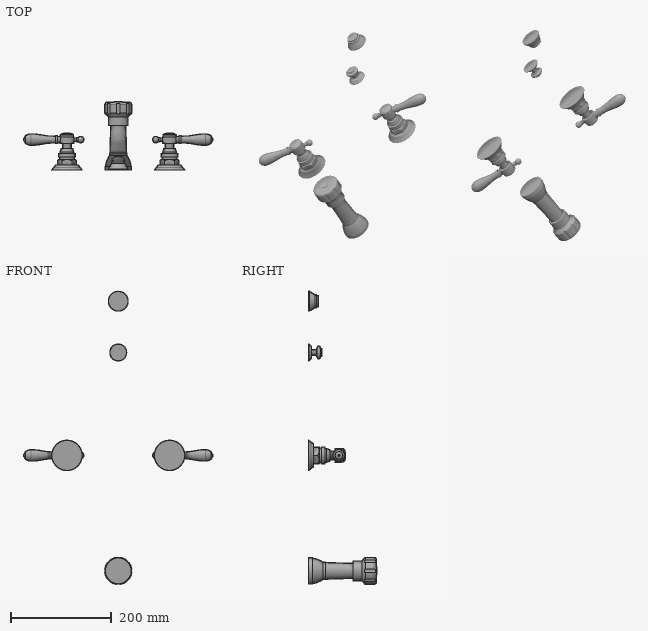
import cadquery as cq


overall_width = 374.5
handle_offset_x = 101.5
handle_z = 229.0
pull_z = 432.5
button_z = 534.0

spout_base_r = 26.0
spout_rim_h = 7.5
flare_start_r = 25.5
flare_mid_r = 23.0
flare_mid_h = 17.5
flare_top_h = 28.5
spout_band_r = 17.5
spout_band_top_h = 34.0
column_base_r = 17.0
column_top_r = 15.0
collar_r = 20.0
collar_bottom_h = 88.0
collar_top_h = 105.5
head_diameter = 54.0
head_r = head_diameter / 2
head_bottom_h = 112.5
head_top_h = 134.5
head_round = 5.0
head_cap_r = 7.5
spout_length = 136.0
flute_count = 8
flute_r = 5.0
flute_depth = 2.0
flute_bottom_h = 107.5
flute_top_h = 132.5

flange_r = 30.0
flange_edge_h = 0.5
flange_step_r = 26.0
flange_step_h = 5.0
flange_top_r = 22.5
flange_top_h = 10.5
hex_corner_r = 19.0
hex_top_h = 21.5
hex_chamfer = 3.0
neck_r = 15.0
ring_r = 17.0
ring_bottom_h = 26.0
ring_top_h = 32.5
cup_base_r = 14.0
cup_mid_h = 35.5
cup_top_r = 11.5
cup_top_h = 42.5
stem_r = 8.5
hub_r = 14.0
hub_bottom_h = 53.0
hub_seam_h = 65.5
hub_crown_r = 13.5
hub_crown_h = 69.5
hub_dome_r = 10.5
hub_dome_h = 72.0
hub_cap_r = 6.5
hub_top_h = 73.0
lever_axis_h = 60.5
lever_neck_r = 6.5
lever_collar_start = 19.0
lever_collar_end = 22.5
lever_collar_r = 8.0
lever_grip_r = 7.0
lever_waist_x = 38.0
lever_waist_r = 7.5
lever_swell_x = 71.0
lever_swell_r = 11.5
lever_shoulder_x = 82.5
lever_shoulder_r = 7.5
lever_length = overall_width / 2 - handle_offset_x
lever_tip_r = 2.0
ball_r = 6.5
ball_x = 27.0
ball_neck_r = 3.5
ball_collar_r = 4.5
ball_collar_start = 18.5
ball_collar_end = 22.0

pull_base_r = 17.0
pull_base_edge_h = 1.0
pull_base_top_r = 11.5
pull_base_top_h = 6.5
pull_stem_r = 6.0
pull_stem_top_h = 15.5
pull_seat_r = 8.0
pull_bead_edge_r = 10.0
pull_bead_r = 13.0
pull_bead_bottom_h = 17.5
pull_bead_top_h = 24.0
pull_cap_r = 7.5
pull_length = 26.5

button_r = 20.0
button_edge_h = 2.0
button_shoulder_r = 13.5
button_shoulder_bottom_h = 13.0
button_shoulder_top_h = 15.5
button_cap_r = 11.0
button_length = 20.0


def turn_about_y(outline):
    """Close a (radius, height) outline onto the Y axis and turn it into a solid."""
    return outline.close().revolve(360, (0, 0, 0), (0, 1, 0))


def rod_along_y(radius, bottom, top):
    return cq.Workplane("XZ", origin=(0, bottom, 0)).circle(radius).extrude(bottom - top)


def make_spout():
    body = turn_about_y(
        cq.Workplane("XY")
        .lineTo(spout_base_r, 0)
        .lineTo(spout_base_r, spout_rim_h)
        .lineTo(flare_start_r, spout_rim_h)
        .threePointArc((flare_mid_r, flare_mid_h), (spout_band_r, flare_top_h))
        .lineTo(spout_band_r, spout_band_top_h)
        .lineTo(column_base_r, spout_band_top_h)
        .lineTo(column_top_r, collar_bottom_h)
        .lineTo(collar_r, collar_bottom_h)
        .lineTo(collar_r, collar_top_h)
        .lineTo(head_r, head_bottom_h)
        .lineTo(head_r, head_top_h - head_round)
        .radiusArc((head_r - head_round, head_top_h), -head_round)
        .lineTo(0, head_top_h)
    )
    body = body.union(rod_along_y(head_cap_r, collar_top_h, spout_length))
    flute = rod_along_y(flute_r, flute_bottom_h, flute_top_h)
    flute = flute.translate((head_r + flute_r - flute_depth, 0, 0))
    for i in range(flute_count):
        body = body.cut(flute.rotate((0, 0, 0), (0, 1, 0), i * 360 / flute_count))
    return body


def make_handle_hexagon():
    """Hexagon with corners on the X axis and its outer corners turned to a chamfer."""
    prism = (
        cq.Workplane("XZ", origin=(0, flange_top_h, 0))
        .polygon(6, 2 * hex_corner_r)
        .extrude(flange_top_h - hex_top_h)
    )
    blank = rod_along_y(hex_corner_r, flange_top_h, hex_top_h).faces(">Y").chamfer(hex_chamfer)
    return prism.intersect(blank)


def make_handle_column():
    return turn_about_y(
        cq.Workplane("XY")
        .lineTo(flange_r, 0)
        .lineTo(flange_r, flange_edge_h)
        .lineTo(flange_step_r, flange_step_h)
        .lineTo(flange_top_r, flange_top_h)
        .lineTo(neck_r, flange_top_h)
        .lineTo(neck_r, ring_bottom_h)
        .lineTo(ring_r, ring_bottom_h)
        .lineTo(ring_r, ring_top_h)
        .lineTo(cup_base_r, ring_top_h)
        .lineTo(cup_base_r, cup_mid_h)
        .lineTo(cup_top_r, cup_top_h)
        .lineTo(stem_r, cup_top_h)
        .lineTo(stem_r, hub_bottom_h)
        .lineTo(hub_r, hub_bottom_h)
        .lineTo(hub_r, hub_seam_h)
        .lineTo(hub_crown_r, hub_seam_h)
        .lineTo(hub_crown_r, hub_crown_h)
        .lineTo(hub_dome_r, hub_dome_h)
        .lineTo(hub_cap_r, hub_top_h)
        .lineTo(0, hub_top_h)
    )


def make_lever():
    """Lever grip on +X and the ball on -X, turned about the lever axis."""
    grip = (
        cq.Workplane("XY")
        .lineTo(0, lever_neck_r)
        .lineTo(lever_collar_start, lever_neck_r)
        .lineTo(lever_collar_start, lever_collar_r)
        .lineTo(lever_collar_end, lever_collar_r)
        .lineTo(lever_collar_end, lever_grip_r)
        .spline(
            [(lever_waist_x, lever_waist_r), (lever_swell_x, lever_swell_r)],
            tangents=[(1, 0), (1, 0)],
            includeCurrent=True,
        )
        .tangentArcPoint((lever_shoulder_x, lever_shoulder_r), relative=False)
        .lineTo(lever_length, lever_tip_r)
        .lineTo(lever_length, 0)
        .close()
        .revolve(360, (0, 0, 0), (1, 0, 0))
    )
    ball_neck = cq.Workplane("YZ").circle(ball_neck_r).extrude(-ball_x)
    ball_collar = (
        cq.Workplane("YZ", origin=(-ball_collar_start, 0, 0))
        .circle(ball_collar_r)
        .extrude(ball_collar_start - ball_collar_end)
    )
    ball = cq.Workplane("XY").sphere(ball_r).translate((-ball_x, 0, 0))
    lever = grip.union(ball_neck).union(ball_collar).union(ball)
    return lever.translate((0, lever_axis_h, 0))


def make_handle():
    return make_handle_column().union(make_handle_hexagon()).union(make_lever())


def make_pull():
    bead_mid_h = (pull_bead_bottom_h + pull_bead_top_h) / 2
    return turn_about_y(
        cq.Workplane("XY")
        .lineTo(pull_base_r, 0)
        .lineTo(pull_base_r, pull_base_edge_h)
        .lineTo(pull_base_top_r, pull_base_top_h)
        .lineTo(pull_stem_r, pull_base_top_h)
        .lineTo(pull_stem_r, pull_stem_top_h)
        .lineTo(pull_seat_r, pull_stem_top_h)
        .lineTo(pull_seat_r, pull_bead_bottom_h)
        .lineTo(pull_bead_edge_r, pull_bead_bottom_h)
        .threePointArc((pull_bead_r, bead_mid_h), (pull_bead_edge_r, pull_bead_top_h))
        .lineTo(pull_cap_r, pull_bead_top_h)
        .lineTo(pull_cap_r, pull_length)
        .lineTo(0, pull_length)
    )


def make_button():
    return turn_about_y(
        cq.Workplane("XY")
        .lineTo(button_r, 0)
        .lineTo(button_r, button_edge_h)
        .lineTo(button_shoulder_r, button_shoulder_bottom_h)
        .lineTo(button_shoulder_r, button_shoulder_top_h)
        .lineTo(button_cap_r, button_shoulder_top_h)
        .lineTo(button_cap_r, button_length)
        .lineTo(0, button_length)
    )


spout = make_spout()
pull = make_pull().translate((0, 0, pull_z))
button = make_button().translate((0, 0, button_z))

handles = []
for side, turn in ((1, 0), (-1, 180)):
    handle = make_handle().rotate((0, 0, 0), (0, 1, 0), turn)
    handles.append(handle.translate((side * handle_offset_x, 0, handle_z)))

result = cq.Compound.makeCompound(
    [spout.val(), *[handle.val() for handle in handles], pull.val(), button.val()]
)